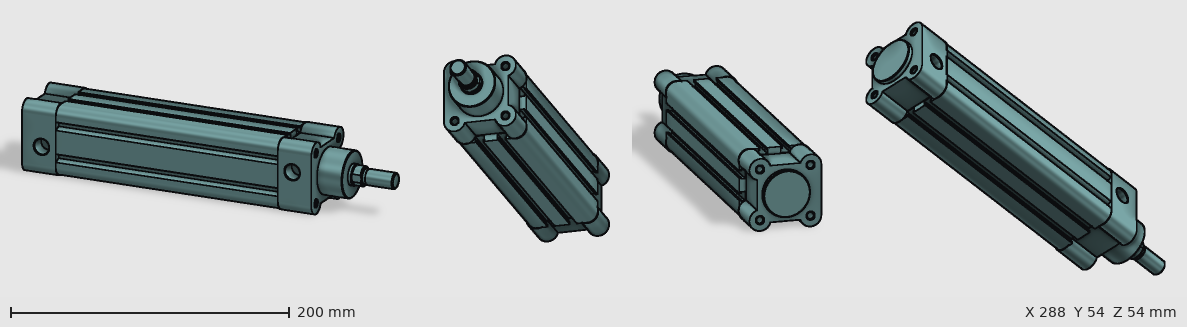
import cadquery as cq


TOTAL_LENGTH = 288.0
REAR_BOSS_LENGTH = 3.7
HEAD_LENGTH = 26.8
TUBE_LENGTH = 176.3
COLLAR_LENGTH = 20.0
TUBE_X = REAR_BOSS_LENGTH + HEAD_LENGTH
FRONT_HEAD_X = TUBE_X + TUBE_LENGTH
COLLAR_X = FRONT_HEAD_X + HEAD_LENGTH
ROD_X = COLLAR_X + COLLAR_LENGTH

HEAD_SIZE = 54.0
LOBE_RADIUS = 8.0
LOBE_OFFSET = HEAD_SIZE / 2 - LOBE_RADIUS
RECESSED_SIDE = 21.3
BOSS_RADIUS = 17.5
BOSS_CHAMFER = 0.5

SCREW_HOLE_RADIUS = 2.45
SCREW_HOLE_DEPTH = 5.0
COUNTERBORE_RADIUS = 3.2
COUNTERBORE_DEPTH = 0.4

PORT_RADIUS = 5.8
PORT_CHAMFER = 0.5
PORT_DEPTH = 11.5
PORT_OFFSET = 5.0
REAR_PORT_X = 19.3
FRONT_PORT_X = 218.3

TUBE_SIZE = 53.0
TUBE_CORNER_RADIUS = TUBE_SIZE / 2 - LOBE_OFFSET

SLOT_INNER = 5.8
SLOT_OUTER = 11.0
SLOT_UNDERCUT = 1.0
SLOT_LIP = 1.5
SLOT_FLOOR = 22.0

GROOVE_CENTRE = 12.0
GROOVE_MOUTH = 6.3
GROOVE_BOTTOM = 2.5
GROOVE_DEPTH = 4.3

SHOULDER_RADIUS = 8.0
SHOULDER_LENGTH = 2.3
WRENCH_RADIUS = 7.5
WRENCH_FLAT_OFFSET = 7.0
WRENCH_LENGTH = 8.0
WRENCH_CHAMFER = 1.0
NECK_RADIUS = 5.8
NECK_LENGTH = 2.3
THREAD_RADIUS = 6.0
TIP_CHAMFER = 1.0


def cylinder_x(x, radius, length):
    """Cylinder along +X, centred on the axis and starting at x."""
    return cq.Workplane("YZ", origin=(x, 0, 0)).circle(radius).extrude(length)


def head_block(x):
    """Block with round corner lobes, recessed between them on all sides except -Y."""
    plane = cq.Workplane("YZ", origin=(x, 0, 0))
    flat_side = -HEAD_SIZE / 2
    block = (
        plane.moveTo((flat_side + RECESSED_SIDE) / 2, 0)
        .rect(RECESSED_SIDE - flat_side, 2 * LOBE_OFFSET)
        .extrude(HEAD_LENGTH)
    )
    web = plane.rect(2 * LOBE_OFFSET, 2 * RECESSED_SIDE).extrude(HEAD_LENGTH)
    lobes = (
        plane.rect(2 * LOBE_OFFSET, 2 * LOBE_OFFSET, forConstruction=True)
        .vertices()
        .circle(LOBE_RADIUS)
        .extrude(HEAD_LENGTH)
    )
    return block.union(web).union(lobes)


def screw_holes(face_x, direction):
    """Four counterbored holes going into a head from the face at face_x."""
    plane = cq.Workplane("YZ", origin=(face_x, 0, 0))
    centres = plane.rect(2 * LOBE_OFFSET, 2 * LOBE_OFFSET, forConstruction=True).vertices()
    holes = centres.circle(SCREW_HOLE_RADIUS).extrude(direction * SCREW_HOLE_DEPTH)
    counterbores = centres.circle(COUNTERBORE_RADIUS).extrude(direction * COUNTERBORE_DEPTH)
    return holes.union(counterbores)


def air_port(x, z):
    """Blind round port with a chamfered mouth, going in from the -Y face."""
    face = cq.Workplane("XZ", origin=(x, -HEAD_SIZE / 2, z))
    bore = face.circle(PORT_RADIUS).extrude(-PORT_DEPTH)
    mouth = cq.Workplane(
        cq.Solid.makeCone(
            PORT_RADIUS + PORT_CHAMFER,
            PORT_RADIUS,
            PORT_CHAMFER,
            pnt=cq.Vector(x, -HEAD_SIZE / 2, z),
            dir=cq.Vector(0, 1, 0),
        )
    )
    return bore.union(mouth)


def make_rear_head():
    boss = cylinder_x(0, BOSS_RADIUS, REAR_BOSS_LENGTH).faces("<X").chamfer(BOSS_CHAMFER)
    head = head_block(REAR_BOSS_LENGTH).union(boss)
    head = head.cut(screw_holes(REAR_BOSS_LENGTH, 3))
    return head.cut(air_port(REAR_PORT_X, -PORT_OFFSET))


def make_front_head():
    collar = cylinder_x(COLLAR_X, BOSS_RADIUS, COLLAR_LENGTH).faces(">X").chamfer(BOSS_CHAMFER)
    head = head_block(FRONT_HEAD_X).union(collar)
    head = head.cut(screw_holes(COLLAR_X, -3))
    return head.cut(air_port(FRONT_PORT_X, PORT_OFFSET))


def slot_pair():
    """Two undercut slots in the +Z side of the tube, mirrored about Y = 0."""
    top = TUBE_SIZE / 2
    neck_middle = (SLOT_INNER + SLOT_OUTER) / 2
    mouth_width = SLOT_OUTER - SLOT_INNER
    plane = cq.Workplane("YZ", origin=(TUBE_X, 0, 0))
    centres = [(-neck_middle, 0), (neck_middle, 0)]
    lip_bottom = top - SLOT_LIP
    mouths = (
        plane.center(0, (top + SLOT_FLOOR) / 2)
        .pushPoints(centres)
        .rect(mouth_width, top - SLOT_FLOOR)
        .extrude(TUBE_LENGTH)
    )
    undercuts = (
        plane.center(0, (lip_bottom + SLOT_FLOOR) / 2)
        .pushPoints(centres)
        .rect(mouth_width + 2 * SLOT_UNDERCUT, lip_bottom - SLOT_FLOOR)
        .extrude(TUBE_LENGTH)
    )
    return mouths.union(undercuts)


def tapered_groove(z):
    """Groove with sloping walls in the -Y side of the tube, centred at height z."""
    side = -TUBE_SIZE / 2
    return (
        cq.Workplane("YZ", origin=(TUBE_X, 0, z))
        .moveTo(side, -GROOVE_MOUTH / 2)
        .lineTo(side + GROOVE_DEPTH, -GROOVE_BOTTOM / 2)
        .lineTo(side + GROOVE_DEPTH, GROOVE_BOTTOM / 2)
        .lineTo(side, GROOVE_MOUTH / 2)
        .close()
        .extrude(TUBE_LENGTH)
    )


def make_tube():
    tube = (
        cq.Workplane("YZ", origin=(TUBE_X, 0, 0))
        .rect(TUBE_SIZE, TUBE_SIZE)
        .extrude(TUBE_LENGTH)
        .edges("|X")
        .fillet(TUBE_CORNER_RADIUS)
    )
    for angle in (0, 90, 180):
        tube = tube.cut(slot_pair().rotate((0, 0, 0), (1, 0, 0), -angle))
    for z in (-GROOVE_CENTRE, GROOVE_CENTRE):
        tube = tube.cut(tapered_groove(z))
    return tube


def make_rod():
    wrench_x = ROD_X + SHOULDER_LENGTH
    neck_x = wrench_x + WRENCH_LENGTH
    thread_x = neck_x + NECK_LENGTH
    shoulder = cylinder_x(ROD_X, SHOULDER_RADIUS, SHOULDER_LENGTH)
    wrench_flats = (
        cq.Workplane("YZ", origin=(wrench_x, 0, 0))
        .rect(2 * WRENCH_FLAT_OFFSET, 2 * WRENCH_RADIUS)
        .extrude(WRENCH_LENGTH)
    )
    wrench = (
        cylinder_x(wrench_x, WRENCH_RADIUS, WRENCH_LENGTH)
        .edges()
        .chamfer(WRENCH_CHAMFER)
        .intersect(wrench_flats)
    )
    neck = cylinder_x(neck_x, NECK_RADIUS, NECK_LENGTH)
    thread = (
        cylinder_x(thread_x, THREAD_RADIUS, TOTAL_LENGTH - thread_x)
        .faces(">X")
        .chamfer(TIP_CHAMFER)
    )
    return shoulder.union(wrench).union(neck).union(thread)


rear_head = make_rear_head()
tube = make_tube()
front_head = make_front_head()
rod = make_rod()

result = cq.Compound.makeCompound([rear_head.val(), tube.val(), front_head.val(), rod.val()])